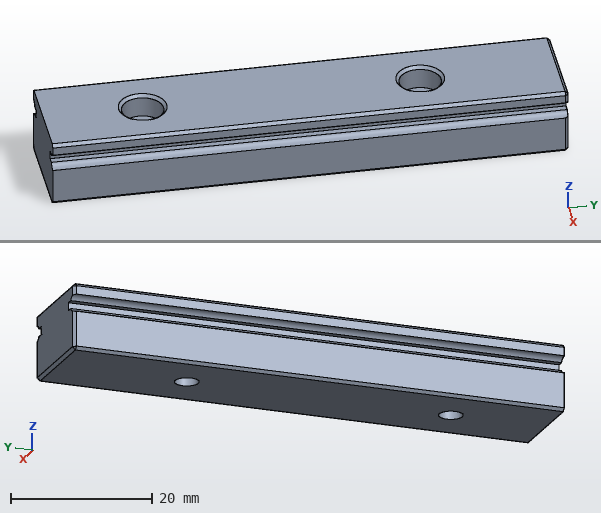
import cadquery as cq

width = 15.0
length = 74.4
height = 10.0
edge_chamfer = 0.45

groove_radius = 1.3
groove_height = height - 3.0
slot_width = 1.2
slot_depth = 2.1

hole_pitch = 40.0
first_hole_from_front = 14.35
hole_diameter = 3.5
counterbore_diameter = 6.0
counterbore_depth = 3.5
counterbore_chamfer = 0.45


def rail_blank():
    """Block chamfered along its long edges and all around its +Y end."""
    block = cq.Workplane("XY").box(width, length, height, centered=(True, True, False))
    return block.edges("|Y or >Y").chamfer(edge_chamfer)


def side_groove(side):
    """Round groove and relief slot, cut the full length of one side (+1 or -1 in X)."""
    profile = cq.Workplane("XZ", origin=(side * width / 2, 0, groove_height))
    ball_groove = profile.circle(groove_radius).extrude(length / 2, both=True)
    relief_slot = profile.rect(2 * slot_depth, slot_width).extrude(length / 2, both=True)
    return ball_groove.union(relief_slot)


def mounting_hole(y):
    """Through hole with a counterbore and a chamfered mouth, on the X centreline."""
    top = cq.Workplane("XY", origin=(0, y, height))
    mouth_radius = counterbore_diameter / 2 + counterbore_chamfer
    through_hole = top.circle(hole_diameter / 2).extrude(-height)
    counterbore = top.circle(counterbore_diameter / 2).extrude(-counterbore_depth)
    mouth = top.circle(mouth_radius).extrude(-counterbore_chamfer, taper=45)
    return through_hole.union(counterbore).union(mouth)


result = rail_blank()

for side in (-1, 1):
    result = result.cut(side_groove(side))

first_hole_y = first_hole_from_front - length / 2
for hole_y in (first_hole_y, first_hole_y + hole_pitch):
    result = result.cut(mounting_hole(hole_y))